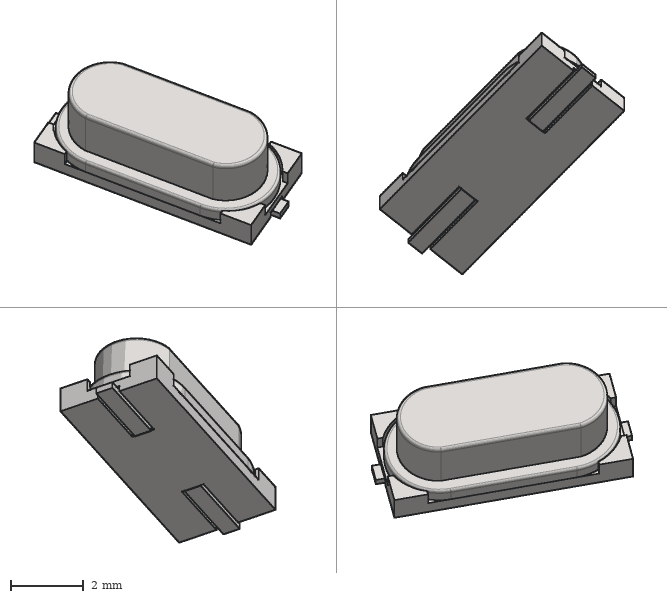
import cadquery as cq

BASE_LENGTH = 6.72
BASE_WIDTH = 3.03
BASE_HEIGHT = 0.80
TERMINAL_SPAN = 7.21
TERMINAL_INNER_X = 1.40
TERMINAL_WIDTH = 0.51
TERMINAL_THICKNESS = 0.20
TERMINAL_STANDOFF = 0.02
SLOT_WIDTH = 0.68

RECESS_DEPTH = 0.40
LONG_SIDE_NOTCH = 4.81
END_NOTCH = 1.34

FLANGE_STRAIGHT = 3.55
FLANGE_FILLET = 0.08
CAN_LENGTH = 5.88
CAN_STRAIGHT = 3.94
CAN_WIDTH = 2.27
CAN_FILLET = 0.10
TOTAL_HEIGHT = 2.22

BASE_BOTTOM_Z = TERMINAL_STANDOFF
BASE_TOP_Z = BASE_BOTTOM_Z + BASE_HEIGHT
RECESS_FLOOR_Z = BASE_TOP_Z - RECESS_DEPTH


def block(length, width, height, x, z):
    """Block centred at x and at Y = 0, standing on height z."""
    return cq.Workplane("XY").box(length, width, height, centered=(True, True, False)).translate((x, 0, z))


def rounded_end_block(length, straight, width, height, z):
    """Block with two straight long sides joined by an arc at each end."""
    half_length = length / 2
    half_straight = straight / 2
    half_width = width / 2
    return (
        cq.Workplane("XY")
        .workplane(offset=z)
        .moveTo(-half_straight, -half_width)
        .lineTo(half_straight, -half_width)
        .threePointArc((half_length, 0), (half_straight, half_width))
        .lineTo(-half_straight, half_width)
        .threePointArc((-half_length, 0), (-half_straight, -half_width))
        .close()
        .extrude(height)
    )


def make_base():
    """Plate with the can recess and a terminal lying in a slot at each end."""
    base = block(BASE_LENGTH, BASE_WIDTH, BASE_HEIGHT, 0, BASE_BOTTOM_Z)

    recess_straight = BASE_LENGTH - BASE_WIDTH
    base = base.cut(
        rounded_end_block(BASE_LENGTH, recess_straight, BASE_WIDTH, RECESS_DEPTH, RECESS_FLOOR_Z)
    )
    base = base.cut(block(LONG_SIDE_NOTCH, BASE_WIDTH, RECESS_DEPTH, 0, RECESS_FLOOR_Z))
    base = base.cut(block(BASE_LENGTH, END_NOTCH, RECESS_DEPTH, 0, RECESS_FLOOR_Z))

    terminal_length = TERMINAL_SPAN / 2 - TERMINAL_INNER_X
    terminal_center_x = TERMINAL_INNER_X + terminal_length / 2
    for side in (-1, 1):
        x = side * terminal_center_x
        base = base.cut(block(terminal_length, SLOT_WIDTH, TERMINAL_THICKNESS, x, 0))
        base = base.union(block(terminal_length, TERMINAL_WIDTH, TERMINAL_THICKNESS, x, 0))
    return base


def make_can():
    """Solid can on a flange that fills the recess depth."""
    flange_length = FLANGE_STRAIGHT + BASE_WIDTH
    flange = rounded_end_block(flange_length, FLANGE_STRAIGHT, BASE_WIDTH, RECESS_DEPTH, RECESS_FLOOR_Z)
    flange = flange.faces(">Z").edges().fillet(FLANGE_FILLET)

    shell_height = TOTAL_HEIGHT - RECESS_FLOOR_Z
    shell = rounded_end_block(CAN_LENGTH, CAN_STRAIGHT, CAN_WIDTH, shell_height, RECESS_FLOOR_Z)
    shell = shell.faces(">Z").edges().fillet(CAN_FILLET)
    return flange.union(shell)


base = make_base()
can = make_can()

result = cq.Compound.makeCompound([base.solids().val(), can.solids().val()])